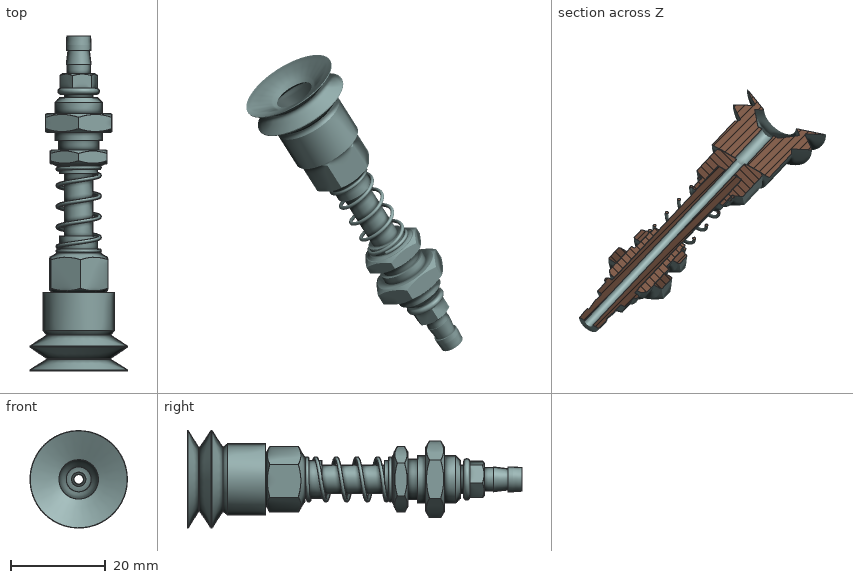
import cadquery as cq
import math


total_length = 70.53

lip_dia = 20.52
waist_dia = 13.4
cup_body_dia = 15.0
fold_height = 2.5
fold_land = 0.2
cup_chamfer_height = 1.0
cup_top = 16.5
mouth_hole_dia = 8.3
mouth_depth = 2.4
cavity_dia = 11.6
cavity_widest_y = 3.5
cavity_floor_dia = 5.25
cavity_floor_y = 6.7
cup_bore_dia = 3.0

fitting_flats = 12.0
fitting_height = 8.0
fitting_lower_face_dia = 10.8
fitting_upper_face_dia = 10.0
fitting_corner_angle = 27.0
collar_dia = 8.0
collar_height = 3.85
socket_depth = 8.0

rod_dia = 6.0
rod_bore_dia = 2.0
flange_dia = 8.7
flange_bottom = 58.2
flange_top = 59.5
rod_hex_flats = 7.0
rod_hex_top = 62.6
rod_hex_face_dia = 6.6
rod_hex_corner_angle = 48.5
barb_neck_dia = 5.0
barb_dia = 5.25
barb_root_dia = 4.5
lower_barb_y = 64.5
upper_barb_y = 67.5
barb_land = 1.1

nose_dia = 8.0
nose_bottom = 41.5
small_thread_dia = 8.5
large_thread_dia = 10.0
thread_shoulder = 48.5
housing_top = 57.5
housing_chamfer = 1.0

lock_nut_flats = 12.0
lock_nut_bottom = 43.5
lock_nut_height = 3.0
lock_nut_face_dia = 11.3
mount_nut_flats = 14.0
mount_nut_bottom = 50.2
mount_nut_height = 3.97
mount_nut_face_dia = 13.4
nut_corner_angle = 30.0

seat_height = 0.33
fitting_seat_dia = 9.2
lock_nut_seat_base_dia = 10.8
lock_nut_seat_dia = 9.4

wire_dia = 0.75
coil_dia = 8.75
seat_clearance = 0.02
coil_pitch = 4.36
lead_in_turns = 0.4
easing_turns = 1.0
spring_start_angle = -111.0
points_per_turn = 24

hex_chamfer_angle = 30.0
hex_chamfer_slope = math.tan(math.radians(hex_chamfer_angle))
fitting_top = cup_top + fitting_height
lower_seat_y = fitting_top + seat_height
upper_seat_y = lock_nut_bottom - seat_height
rod_bottom = fitting_top + collar_height - socket_depth


def revolve_profile(outline):
    """Turn a closed (radius, y) outline round the Y axis."""
    return outline.close().revolve(360, (0, 0, 0), (0, 1, 0))


def cylinder(dia, bottom, top):
    """Solid cylinder along Y."""
    return cq.Workplane("XZ", origin=(0, bottom, 0)).circle(dia / 2).extrude(bottom - top)


def hexagon(flats, bottom, top, corner_angle, lower_face_dia, upper_face_dia):
    """Hexagonal prism along Y with 30 degree conical ends.

    A face diameter of None leaves that end plain.
    """
    corner_radius = flats / math.sqrt(3)
    height = top - bottom
    corners = []
    for k in range(6):
        angle = math.radians(corner_angle + 60 * k)
        corners.append((corner_radius * math.cos(angle), corner_radius * math.sin(angle)))
    prism = cq.Workplane("XZ", origin=(0, bottom, 0)).polyline(corners).close().extrude(-height)

    lower_radius = lower_face_dia / 2 if lower_face_dia else corner_radius
    upper_radius = upper_face_dia / 2 if upper_face_dia else corner_radius
    lower_edge = bottom + (corner_radius - lower_radius) * hex_chamfer_slope
    upper_edge = top - (corner_radius - upper_radius) * hex_chamfer_slope
    outline = cq.Workplane("XY").moveTo(0, bottom).lineTo(lower_radius, bottom)
    if lower_face_dia:
        outline = outline.lineTo(corner_radius, lower_edge)
    outline = outline.lineTo(corner_radius, upper_edge)
    if upper_face_dia:
        outline = outline.lineTo(upper_radius, top)
    return prism.intersect(revolve_profile(outline.lineTo(0, top)))


def cone(bottom_dia, top_dia, bottom, top):
    """Solid truncated cone along Y."""
    outline = cq.Workplane("XY").moveTo(0, bottom).lineTo(bottom_dia / 2, bottom)
    return revolve_profile(outline.lineTo(top_dia / 2, top).lineTo(0, top))


def make_suction_cup():
    """Bellows cup: two flared folds under a cylindrical body, hollow behind the mouth, with a bore."""
    lip_r = lip_dia / 2
    waist_r = waist_dia / 2
    body_r = cup_body_dia / 2
    bore_r = cup_bore_dia / 2
    outline = (
        cq.Workplane("XY")
        .moveTo(lip_r, 0)
        .lineTo(lip_r, fold_land)
        .lineTo(waist_r, fold_height - fold_land / 2)
        .lineTo(waist_r, fold_height + fold_land / 2)
        .lineTo(lip_r, 2 * fold_height)
        .lineTo(lip_r, 2 * fold_height + fold_land)
        .lineTo(waist_r, 3 * fold_height)
        .lineTo(body_r, 3 * fold_height + cup_chamfer_height)
        .lineTo(body_r, cup_top)
        .lineTo(bore_r, cup_top)
        .lineTo(bore_r, cavity_floor_y)
        .lineTo(cavity_floor_dia / 2, cavity_floor_y)
        .lineTo(cavity_dia / 2, cavity_widest_y)
        .lineTo(mouth_hole_dia / 2, mouth_depth)
    )
    return revolve_profile(outline)


def make_fitting():
    """Hexagonal fitting on the cup, with a collar inside the spring and a socket for the rod."""
    body = hexagon(fitting_flats, cup_top, fitting_top, fitting_corner_angle,
                   fitting_lower_face_dia, fitting_upper_face_dia)
    collar_top = fitting_top + collar_height
    body = body.union(cone(fitting_upper_face_dia, fitting_seat_dia, fitting_top, lower_seat_y))
    body = body.union(cylinder(collar_dia, fitting_top, collar_top))
    body = body.cut(cylinder(rod_dia, rod_bottom, collar_top))
    return body.cut(cylinder(rod_bore_dia, cup_top, rod_bottom))


def make_rod():
    """Hollow rod with a round-edged flange, a hexagon and a two-step hose barb."""
    flange_edge_r = (flange_top - flange_bottom) / 2
    flange_flat_r = flange_dia / 2 - flange_edge_r
    flange = revolve_profile(
        cq.Workplane("XY")
        .moveTo(0, flange_bottom)
        .lineTo(flange_flat_r, flange_bottom)
        .threePointArc((flange_dia / 2, flange_bottom + flange_edge_r), (flange_flat_r, flange_top))
        .lineTo(0, flange_top)
    )
    barb = revolve_profile(
        cq.Workplane("XY")
        .moveTo(0, rod_hex_top)
        .lineTo(barb_neck_dia / 2, rod_hex_top)
        .lineTo(barb_neck_dia / 2, lower_barb_y)
        .lineTo(barb_dia / 2, lower_barb_y)
        .lineTo(barb_root_dia / 2, upper_barb_y)
        .lineTo(barb_dia / 2, upper_barb_y)
        .lineTo(barb_dia / 2, upper_barb_y + barb_land)
        .lineTo(barb_neck_dia / 2, total_length)
        .lineTo(0, total_length)
    )
    rod_hex = hexagon(rod_hex_flats, flange_top, rod_hex_top, rod_hex_corner_angle, None, rod_hex_face_dia)
    rod = cylinder(rod_dia, rod_bottom, flange_bottom).union(flange).union(rod_hex).union(barb)
    return rod.cut(cylinder(rod_bore_dia, rod_bottom, total_length))


def make_housing():
    """Guide sleeve for the rod: spring nose, small thread and large thread."""
    bore_r = rod_dia / 2
    nose_r = nose_dia / 2
    small_r = small_thread_dia / 2
    large_r = large_thread_dia / 2
    outline = (
        cq.Workplane("XY")
        .moveTo(bore_r, nose_bottom)
        .lineTo(nose_r, nose_bottom)
        .lineTo(nose_r, upper_seat_y)
        .lineTo(small_r, upper_seat_y)
        .lineTo(small_r, thread_shoulder)
        .lineTo(large_r, thread_shoulder)
        .lineTo(large_r, housing_top - housing_chamfer)
        .lineTo(large_r - housing_chamfer, housing_top)
        .lineTo(bore_r, housing_top)
    )
    return revolve_profile(outline)


def make_lock_nut():
    """Hexagon nut on the small thread, chamfered on both ends, with a spring seat underneath."""
    top = lock_nut_bottom + lock_nut_height
    nut = hexagon(lock_nut_flats, lock_nut_bottom, top, nut_corner_angle,
                  lock_nut_face_dia, lock_nut_face_dia)
    nut = nut.union(cone(lock_nut_seat_dia, lock_nut_seat_base_dia, upper_seat_y, lock_nut_bottom))
    return nut.cut(cylinder(small_thread_dia, upper_seat_y, top))


def make_mount_nut():
    """Hexagon nut on the large thread, chamfered on both ends."""
    top = mount_nut_bottom + mount_nut_height
    nut = hexagon(mount_nut_flats, mount_nut_bottom, top, nut_corner_angle,
                  mount_nut_face_dia, mount_nut_face_dia)
    return nut.cut(cylinder(large_thread_dia, mount_nut_bottom, top))


def make_spring():
    """Right-handed spring whose pitch eases from flat to full and back to flat at its ends."""
    first_y = lower_seat_y + seat_clearance + wire_dia / 2
    rise = upper_seat_y - seat_clearance - wire_dia / 2 - first_y
    climb_turns = rise / coil_pitch + easing_turns
    total_turns = climb_turns + 2 * lead_in_turns

    def climb(turn):
        """Height above the first coil after a number of turns."""
        if turn <= 0:
            return 0
        if turn < easing_turns:
            return coil_pitch * turn ** 2 / (2 * easing_turns)
        if turn <= climb_turns - easing_turns:
            return coil_pitch * (turn - easing_turns / 2)
        return rise - climb(climb_turns - turn)

    steps = math.ceil(total_turns * points_per_turn)
    points = []
    for i in range(steps + 1):
        turn = total_turns * i / steps
        angle = math.radians(spring_start_angle) + 2 * math.pi * turn
        y = first_y + climb(turn - lead_in_turns)
        points.append(cq.Vector(coil_dia / 2 * math.sin(angle), y, coil_dia / 2 * math.cos(angle)))
    path = cq.Edge.makeSpline(points)
    start = cq.Plane(origin=path.startPoint(), xDir=(0, 1, 0), normal=path.tangentAt(0))
    wire_section = cq.Workplane(start).circle(wire_dia / 2)
    return wire_section.sweep(cq.Workplane(obj=cq.Wire.assembleEdges([path])), isFrenet=True)


suction_cup = make_suction_cup()
fitting = make_fitting()
rod = make_rod()
housing = make_housing()
lock_nut = make_lock_nut()
mount_nut = make_mount_nut()
spring = make_spring()

result = cq.Compound.makeCompound([
    suction_cup.val(),
    fitting.val(),
    rod.val(),
    housing.val(),
    lock_nut.val(),
    mount_nut.val(),
    spring.val(),
])